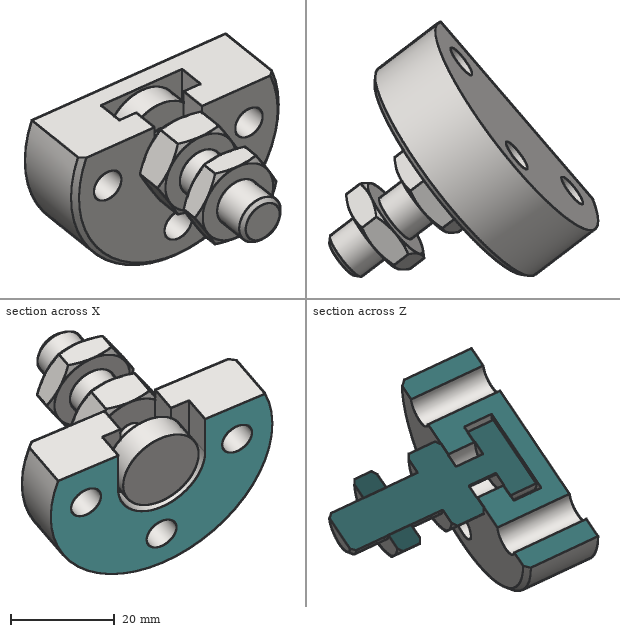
import cadquery as cq
import math


plate_radius = 25.0
plate_thickness = 16.0
plate_flat_height = 9.0
plate_chamfer = 1.1
mount_hole_diameter = 6.6
mount_hole_radius = 17.0
mount_hole_angles = (0, 180, 270)

head_slot_start = 4.15
head_slot_end = 10.1
head_slot_width = 19.5
neck_slot_width = 11.4

head_diameter = 17.0
head_start = 4.4
neck_diameter = 5.2
collar_start = plate_thickness
collar_length = 7.2
collar_end = collar_start + collar_length
thread_diameter = 10.0
thread_length = 20.0
tip_chamfer = 0.9

hex_across_flats = 17.0
hex_chamfer_face_diameter = 16.95
hex_chamfer_angle = 30.0

nut_start = 30.1
nut_thickness = 5.1


def cylinder(diameter, start, end):
    """Cylinder on the X axis between two X positions."""
    return cq.Workplane("YZ", origin=(start, 0, 0)).circle(diameter / 2).extrude(end - start)


def open_slot(width, start, end):
    """Slot that is round around the X axis and runs straight up past the flat."""
    channel = (
        cq.Workplane("YZ", origin=(start, 0, 0))
        .center(0, plate_radius / 2)
        .rect(width, plate_radius)
        .extrude(end - start)
    )
    return cylinder(width, start, end).union(channel)


def chamfered_hexagon(start, end):
    """Hexagon with corners on the Y axis, its corners turned off at both ends."""
    corner_diameter = hex_across_flats / math.cos(math.radians(30))
    face_radius = hex_chamfer_face_diameter / 2
    outer_radius = corner_diameter / 2
    chamfer_length = (outer_radius - face_radius) * math.tan(math.radians(hex_chamfer_angle))
    prism = cq.Workplane("YZ", origin=(start, 0, 0)).polygon(6, corner_diameter).extrude(end - start)
    turned_blank = (
        cq.Workplane("XY")
        .moveTo(start, 0)
        .lineTo(start, face_radius)
        .lineTo(start + chamfer_length, outer_radius)
        .lineTo(end - chamfer_length, outer_radius)
        .lineTo(end, face_radius)
        .lineTo(end, 0)
        .close()
        .revolve(360, (0, 0, 0), (1, 0, 0))
    )
    return prism.intersect(turned_blank)


def make_plate():
    """Disc with a flat on top, three mounting holes and the T-slot."""
    disc = cylinder(2 * plate_radius, 0, plate_thickness).faces(">X").chamfer(plate_chamfer)
    below_flat = (
        cq.Workplane("XY", origin=(plate_thickness / 2, 0, plate_flat_height))
        .rect(plate_thickness, 2 * plate_radius)
        .extrude(-plate_flat_height - plate_radius)
    )
    plate = disc.intersect(below_flat)
    for angle in mount_hole_angles:
        y = mount_hole_radius * math.cos(math.radians(angle))
        z = mount_hole_radius * math.sin(math.radians(angle))
        plate = plate.cut(cylinder(mount_hole_diameter, 0, plate_thickness).translate((0, y, z)))
    plate = plate.cut(open_slot(head_slot_width, head_slot_start, head_slot_end))
    return plate.cut(open_slot(neck_slot_width, head_slot_end, plate_thickness))


def make_stud():
    """Stud whose round head sits in the T-slot, with a hexagonal collar against the plate."""
    stud_end = collar_end + thread_length
    head = cylinder(head_diameter, head_start, head_slot_end)
    neck = cylinder(neck_diameter, head_slot_end, collar_start)
    collar = chamfered_hexagon(collar_start, collar_end)
    thread = cylinder(thread_diameter, collar_end, stud_end).faces(">X").chamfer(tip_chamfer)
    return head.union(neck).union(collar).union(thread)


def make_nut():
    """Hexagonal nut that fits on the stud's thread."""
    nut_end = nut_start + nut_thickness
    return chamfered_hexagon(nut_start, nut_end).cut(cylinder(thread_diameter, nut_start, nut_end))


plate = make_plate()
stud = make_stud()
nut = make_nut()

result = cq.Compound.makeCompound([plate.solids().val(), stud.solids().val(), nut.solids().val()])